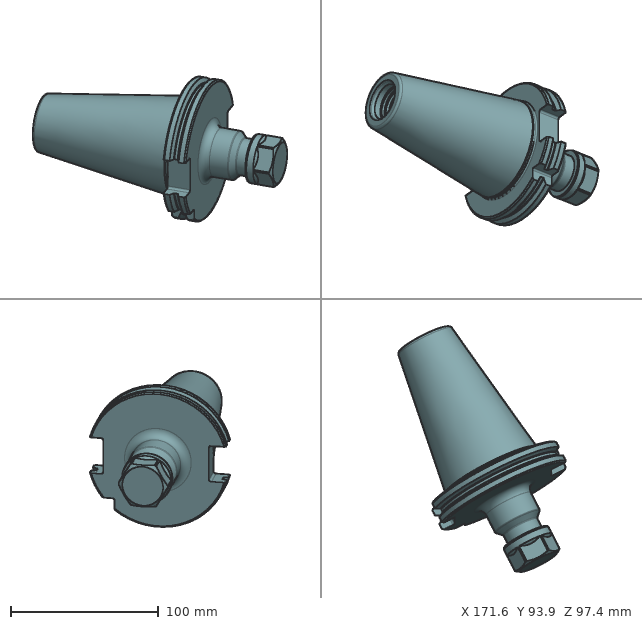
import cadquery as cq
import math


overall_length = 171.6

gauge_radius = 34.8
gauge_x = 100.9
taper_slope = 3.5 / 24
small_end_round = 1.9
gauge_chamfer_length = 1.0
relief_radius = 34.5
relief_fillet = 1.0

flange_radius = 48.7
flange_start_x = 104.5
flange_width = 16.1
flange_end_x = flange_start_x + flange_width
flange_chamfer = 1.0
groove_center_x = flange_start_x + flange_width / 2
groove_radius = 45.3
groove_floor_width = 2.7
groove_mouth_width = 6.5
groove_fillet = 0.5

drive_slot_width = 25.7
shallow_floor_y = -37.5
deep_floor_y = 35.3
drive_slot_fillet = 1.5
notch_y = -29.9
notch_z = -30.0
notch_fillet = 1.2

hub_radius = 17.0
hub_fillet = 6.0
shoulder_x = 140.2
shoulder_drop = 4.1
neck_radius = hub_radius - shoulder_drop
shoulder_round = 0.9

bore_mouth_radius = 14.5
bore_mouth_chamfer = 0.7
counterbore_radius = 12.5
countersink_end_x = 3.0
counterbore_end_x = 7.5
thread_start_x = 8.4
thread_radius = 12.0
thread_end_x = 10.6
runout_radius = 11.7
runout_end_x = 11.7
pilot_radius = 10.1
pilot_start_x = 13.0
pilot_end_x = 51.5
drill_half_angle = 59.0

nut_start_x = 152.5
collar_length = 5.8
collar_radius = hub_radius
collar_back_chamfer_length = 1.0
collar_back_chamfer_drop = 0.3
hex_sides = 6
hex_across_flats = 30.0
nut_nose_radius = 14.0
nut_nose_chamfer_length = 1.7


def revolve_about_x(outline):
    """Turn a closed outline of (x, radius) points around the X axis."""
    return outline.close().revolve(360, (0, 0, 0), (1, 0, 0))


def turned_body():
    """Taper, relief, flange, hub and neck as one turned piece."""
    small_end_radius = gauge_radius - gauge_x * taper_slope
    relief_start_x = gauge_x + gauge_chamfer_length
    hub_start_x = flange_end_x + hub_fillet
    arc_step = hub_fillet * (1 - math.sqrt(0.5))
    outline = (
        cq.Workplane("XY")
        .moveTo(0, 0)
        .lineTo(0, small_end_radius)
        .lineTo(gauge_x, gauge_radius)
        .lineTo(relief_start_x, relief_radius)
        .lineTo(flange_start_x - relief_fillet, relief_radius)
        .radiusArc((flange_start_x, relief_radius + relief_fillet), -relief_fillet)
        .lineTo(flange_start_x, flange_radius - flange_chamfer)
        .lineTo(flange_start_x + flange_chamfer, flange_radius)
        .lineTo(flange_end_x - flange_chamfer, flange_radius)
        .lineTo(flange_end_x, flange_radius - flange_chamfer)
        .lineTo(flange_end_x, hub_radius + hub_fillet)
        .threePointArc(
            (flange_end_x + arc_step, hub_radius + arc_step),
            (hub_start_x, hub_radius),
        )
        .lineTo(shoulder_x, hub_radius)
        .lineTo(shoulder_x + shoulder_drop, neck_radius)
        .lineTo(nut_start_x, neck_radius)
        .lineTo(nut_start_x, 0)
    )
    body = revolve_about_x(outline)
    body = body.faces("<X").edges().fillet(small_end_round)
    shoulder_edges = cq.selectors.BoxSelector(
        (shoulder_x - shoulder_round, -hub_radius, -hub_radius),
        (shoulder_x + shoulder_drop + shoulder_round, hub_radius, hub_radius),
    )
    return body.edges(shoulder_edges).edges("%CIRCLE").fillet(shoulder_round)


def gripper_groove():
    """Ring with a V-shaped section that cuts the groove in the rim."""
    half_floor = groove_floor_width / 2
    half_mouth = groove_mouth_width / 2
    outline = (
        cq.Workplane("XY")
        .moveTo(groove_center_x - half_floor, groove_radius)
        .lineTo(groove_center_x - half_mouth, flange_radius)
        .lineTo(groove_center_x + half_mouth, flange_radius)
        .lineTo(groove_center_x + half_floor, groove_radius)
    )
    ring = revolve_about_x(outline)
    return ring.edges(cq.selectors.RadiusNthSelector(0)).fillet(groove_fillet)


def rim_cutter(y_from, y_to, z_from, z_to):
    """Block through the whole flange width."""
    block = cq.Workplane("XY").box(flange_width, y_to - y_from, z_to - z_from, centered=False)
    return block.translate((flange_start_x, y_from, z_from))


def drive_slots():
    """Two opposite slots of unequal depth, with rounded floor corners."""
    half_width = drive_slot_width / 2
    shallow = rim_cutter(-flange_radius, shallow_floor_y, -half_width, half_width)
    deep = rim_cutter(deep_floor_y, flange_radius, -half_width, half_width)
    shallow = shallow.faces(">Y").edges("|X").fillet(drive_slot_fillet)
    deep = deep.faces("<Y").edges("|X").fillet(drive_slot_fillet)
    return shallow.union(deep)


def orientation_notch():
    """Corner notch in the lower -Y part of the rim."""
    notch = rim_cutter(-flange_radius, notch_y, -flange_radius, notch_z)
    return notch.edges("|X and >Y and >Z").fillet(notch_fillet)


def stepped_bore():
    """Countersunk, counterbored blind bore with a drill-point bottom."""
    drill_tip_length = pilot_radius / math.tan(math.radians(drill_half_angle))
    outline = (
        cq.Workplane("XY")
        .moveTo(0, 0)
        .lineTo(0, bore_mouth_radius)
        .lineTo(bore_mouth_chamfer, bore_mouth_radius - bore_mouth_chamfer)
        .lineTo(countersink_end_x, counterbore_radius)
        .lineTo(counterbore_end_x, counterbore_radius)
        .lineTo(thread_start_x, thread_radius)
        .lineTo(thread_end_x, thread_radius)
        .lineTo(runout_end_x, runout_radius)
        .lineTo(pilot_start_x, pilot_radius)
        .lineTo(pilot_end_x, pilot_radius)
        .lineTo(pilot_end_x + drill_tip_length, 0)
    )
    return revolve_about_x(outline)


def make_holder():
    """Complete holder: turned body less groove, rim cutouts and bore."""
    holder = turned_body().cut(gripper_groove())
    holder = holder.cut(drive_slots()).cut(orientation_notch())
    return holder.cut(stepped_bore())


def make_nut():
    """Round collar with a hexagon in front, its corners turned to the collar radius."""
    collar_end_x = nut_start_x + collar_length
    flat_distance = hex_across_flats / 2
    cone_length = collar_radius - flat_distance
    collar_outline = (
        cq.Workplane("XY")
        .moveTo(nut_start_x, 0)
        .lineTo(nut_start_x, collar_radius - collar_back_chamfer_drop)
        .lineTo(nut_start_x + collar_back_chamfer_length, collar_radius)
        .lineTo(collar_end_x, collar_radius)
        .lineTo(collar_end_x + cone_length, flat_distance)
        .lineTo(collar_end_x + cone_length, 0)
    )
    turned_outline = (
        cq.Workplane("XY")
        .moveTo(collar_end_x, 0)
        .lineTo(collar_end_x, collar_radius)
        .lineTo(overall_length - nut_nose_chamfer_length, collar_radius)
        .lineTo(overall_length, nut_nose_radius)
        .lineTo(overall_length, 0)
    )
    hexagon = (
        cq.Workplane("YZ", origin=(collar_end_x, 0, 0))
        .transformed(rotate=(0, 0, 180 / hex_sides))
        .polygon(hex_sides, hex_across_flats, circumscribed=True)
        .extrude(overall_length - collar_end_x)
    )
    head = hexagon.intersect(revolve_about_x(turned_outline))
    return revolve_about_x(collar_outline).union(head)


holder = make_holder()
nut = make_nut()

result = cq.Compound.makeCompound([holder.val(), nut.val()])